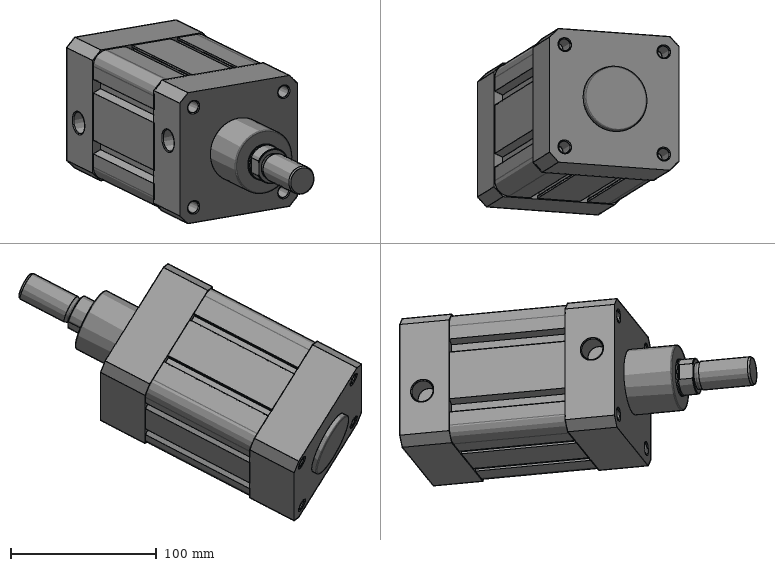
import cadquery as cq


TOTAL_LENGTH = 243.0
REAR_BOSS_LENGTH = 4.0
CAP_LENGTH = 35.2
BARREL_LENGTH = 82.5
FRONT_BOSS_LENGTH = 34.0
BARREL_START = REAR_BOSS_LENGTH + CAP_LENGTH
BARREL_END = BARREL_START + BARREL_LENGTH
FRONT_CAP_END = BARREL_END + CAP_LENGTH
FRONT_BOSS_END = FRONT_CAP_END + FRONT_BOSS_LENGTH

CAP_WIDTH = 94.0
CAP_CHAMFER = 6.5
BOSS_RADIUS = 22.5
BOSS_ROUNDING = 0.7
MOUNT_PITCH = 72.0
MOUNT_RADIUS = 4.1
MOUNT_DEPTH = 16.0
PORT_RADIUS = 7.5
PORT_DEPTH = 17.0
PORT_INSET = 16.0
PORT_OFFSET = 9.5
HOLE_CHAMFER = 0.7

WIPER_RADIUS = 13.0
WIPER_LAND = 1.0
WIPER_LENGTH = 1.7

BARREL_WIDTH = 92.8
BARREL_ROUNDING = 10.2
SIDE_SLOT_PITCH = 43.7
SIDE_SLOT_MOUTH = 9.7
SIDE_SLOT_FLOOR = 5.0
SIDE_SLOT_DEPTH = 5.5
TEE_SLOT_PITCH = 36.2
TEE_SLOT_MOUTH = 5.3
TEE_SLOT_INNER = 7.3
TEE_SLOT_LIP = 1.7
TEE_SLOT_DEPTH = 5.8

ROD_RADIUS = 12.5
ROD_EDGE_CHAMFER = 0.5
FLATS_WIDTH = 22.4
FLATS_START = 193.5
SHOULDER = 203.1
NECK_RADIUS = 9.2
NECK_END = 204.5
THREAD_RADIUS = 10.0
THREAD_START = 206.8
TIP_RADIUS = 9.2
TIP_LENGTH = 1.5


def cylinder_along_x(start, length, radius):
    return cq.Workplane("YZ", origin=(start, 0, 0)).circle(radius).extrude(length)


def chamfered_hole(radius, depth):
    """Cutter for a blind hole from the origin along +Z, with a chamfered mouth."""
    return (
        cq.Workplane("XZ")
        .moveTo(0, 0)
        .lineTo(radius + HOLE_CHAMFER, 0)
        .lineTo(radius, HOLE_CHAMFER)
        .lineTo(radius, depth)
        .lineTo(0, depth)
        .close()
        .revolve(360, (0, 0, 0), (0, 1, 0))
    )


def make_cap(boss_length):
    """Cap with its outer end face at X = 0, its boss on the -X side and its port on the -Y face."""
    cap = (
        cq.Workplane("YZ")
        .rect(CAP_WIDTH, CAP_WIDTH)
        .extrude(CAP_LENGTH)
        .edges("|X")
        .chamfer(CAP_CHAMFER)
    )
    boss = cylinder_along_x(-boss_length, boss_length, BOSS_RADIUS).faces("<X").edges().fillet(BOSS_ROUNDING)
    cap = cap.union(boss)

    mount_hole = chamfered_hole(MOUNT_RADIUS, MOUNT_DEPTH).rotate((0, 0, 0), (0, 1, 0), 90)
    for side_y in (-1, 1):
        for side_z in (-1, 1):
            cap = cap.cut(mount_hole.translate((0, side_y * MOUNT_PITCH / 2, side_z * MOUNT_PITCH / 2)))

    port = chamfered_hole(PORT_RADIUS, PORT_DEPTH).rotate((0, 0, 0), (1, 0, 0), -90)
    return cap.cut(port.translate((PORT_INSET, -CAP_WIDTH / 2, -PORT_OFFSET)))


def make_rear_cap():
    return make_cap(REAR_BOSS_LENGTH).translate((REAR_BOSS_LENGTH, 0, 0))


def make_front_cap():
    """The same cap turned half a turn about Y, with a longer boss, a wiper lip and a rod bore."""
    cap = make_cap(FRONT_BOSS_LENGTH).rotate((0, 0, 0), (0, 1, 0), 180).translate((FRONT_CAP_END, 0, 0))
    wiper = (
        cq.Workplane("XY", origin=(FRONT_BOSS_END, 0, 0))
        .lineTo(0, WIPER_RADIUS)
        .lineTo(WIPER_LAND, WIPER_RADIUS)
        .lineTo(WIPER_LENGTH, ROD_RADIUS)
        .lineTo(WIPER_LENGTH, 0)
        .close()
        .revolve(360, (0, 0, 0), (1, 0, 0))
    )
    rod_bore = cylinder_along_x(BARREL_END, TOTAL_LENGTH - BARREL_END, ROD_RADIUS)
    return cap.union(wiper).cut(rod_bore)


def slot_cutter(half_outline):
    """Barrel-long slot cutter from (half width, depth) points, sunk into the +Z face at Y = 0."""
    face = BARREL_WIDTH / 2
    right = [(half_width, face - depth) for half_width, depth in half_outline]
    left = [(-y, z) for y, z in reversed(right)]
    return cq.Workplane("YZ", origin=(BARREL_START, 0, 0)).polyline(right + left).close().extrude(BARREL_LENGTH)


def make_barrel():
    barrel = (
        cq.Workplane("YZ", origin=(BARREL_START, 0, 0))
        .rect(BARREL_WIDTH, BARREL_WIDTH)
        .extrude(BARREL_LENGTH)
        .edges("|X")
        .fillet(BARREL_ROUNDING)
    )
    side_slot = slot_cutter([
        (SIDE_SLOT_MOUTH / 2, 0),
        (SIDE_SLOT_FLOOR / 2, SIDE_SLOT_DEPTH),
    ])
    tee_slot = slot_cutter([
        (TEE_SLOT_MOUTH / 2, 0),
        (TEE_SLOT_MOUTH / 2, TEE_SLOT_LIP),
        (TEE_SLOT_INNER / 2, TEE_SLOT_LIP),
        (TEE_SLOT_INNER / 2, TEE_SLOT_DEPTH),
    ])
    slots_by_angle = (
        (0, tee_slot, TEE_SLOT_PITCH),
        (90, side_slot, SIDE_SLOT_PITCH),
        (180, tee_slot, TEE_SLOT_PITCH),
        (270, side_slot, SIDE_SLOT_PITCH),
    )
    for angle, slot, pitch in slots_by_angle:
        for side in (-1, 1):
            shifted = slot.translate((0, side * pitch / 2, 0))
            barrel = barrel.cut(shifted.rotate((0, 0, 0), (1, 0, 0), angle))
    return barrel


def make_rod():
    rod = (
        cq.Workplane("XY")
        .moveTo(BARREL_END, 0)
        .lineTo(BARREL_END, ROD_RADIUS)
        .lineTo(SHOULDER - ROD_EDGE_CHAMFER, ROD_RADIUS)
        .lineTo(SHOULDER, ROD_RADIUS - ROD_EDGE_CHAMFER)
        .lineTo(SHOULDER, NECK_RADIUS)
        .lineTo(NECK_END, NECK_RADIUS)
        .tangentArcPoint((THREAD_START, THREAD_RADIUS), relative=False)
        .lineTo(TOTAL_LENGTH - TIP_LENGTH, THREAD_RADIUS)
        .lineTo(TOTAL_LENGTH, TIP_RADIUS)
        .lineTo(TOTAL_LENGTH, 0)
        .close()
        .revolve(360, (0, 0, 0), (1, 0, 0))
    )
    flats_length = SHOULDER - FLATS_START
    flat_depth = ROD_RADIUS - FLATS_WIDTH / 2
    flat_cutter = cq.Workplane("XY").box(flats_length, flat_depth, 2 * ROD_RADIUS)
    flat_x = FLATS_START + flats_length / 2
    flat_y = (FLATS_WIDTH + flat_depth) / 2
    for side in (-1, 1):
        rod = rod.cut(flat_cutter.translate((flat_x, side * flat_y, 0)))
    return rod


rear_cap = make_rear_cap()
barrel = make_barrel()
front_cap = make_front_cap()
rod = make_rod()

result = cq.Compound.makeCompound([rear_cap.val(), barrel.val(), front_cap.val(), rod.val()])